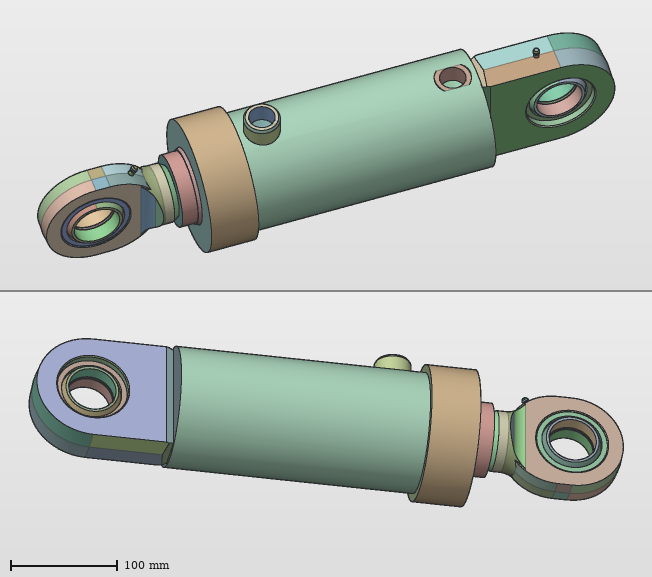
import cadquery as cq
import math


BORE_DIA = 45.0
BALL_DIA = 60.0
BALL_WIDTH = 32.0
RACE_DIA = 68.0
RACE_WIDTH = 25.0
RACE_OPENING_DIA = 58.0
SEAT_CHAMFER = 1.0
OIL_GROOVE_WIDTH = 3.0
OIL_GROOVE_DEPTH = 0.5

DRAFT_ANGLE = 3.5

ROD_DIA = 71.0
ROD_EYE_DIA = 100.0
ROD_EYE_THICKNESS = 26.0
ROD_EYE_FLAT = 14.0
SHANK_DIA = 58.0
SHANK_FILLET = 21.0
SHANK_CHAMFER_LENGTH = 5.5
SHANK_CHAMFER_DEPTH = 3.5
ROD_FACE_Y = 78.5
FLANK_START_Y = 44.5
FLANK_FILLET = 14.0
FLANK_ANGLE = 60.0

FLANGE_DIA = 130.0
FLANGE_FRONT_Y = 97.5
FLANGE_BACK_Y = 144.5
LIP_DIA = 73.0
LIP_BASE_DIA = 76.0
LIP_LENGTH = 3.5
TUBE_DIA = 115.0
TUBE_END_Y = 383.0

REAR_PIN_Y = 461.0
REAR_EYE_DIA = 110.5
REAR_EYE_THICKNESS = 40.0
WELD_CHAMFER_LENGTH = 7.5
WELD_CHAMFER_DEPTH = 3.0
REAR_EYE_ROOT = 5.5

FRONT_PORT_Y = 170.0
REAR_PORT_Y = 360.0
PORT_DIA = 35.0
PORT_HOLE_DIA = 25.0
PORT_HOLE_DEPTH = 20.0
DRILL_POINT_ANGLE = 118.0
BOSS_TOP_Z = 75.0
BOSS_CHAMFER_HEIGHT = 3.0
BOSS_CHAMFER_WIDTH = 1.5
SPOT_FACE_Z = 56.0

NIPPLE_HEIGHT = 9.0
NIPPLE_STEM_DIA = 5.5
NIPPLE_HEAD_DIA = 6.0
NIPPLE_NECK_DIA = 3.55
NIPPLE_TIP_DIA = 4.4
NIPPLE_STEM_HEIGHT = 4.0
NIPPLE_NECK_HEIGHT = 1.0
NIPPLE_ROOT = 3.0
REAR_NIPPLE_Y = REAR_PIN_Y - 17.5
ROD_NIPPLE_TILT = 30.0

rod_eye_radius = ROD_EYE_DIA / 2
rear_eye_radius = REAR_EYE_DIA / 2
rear_eye_root_y = TUBE_END_Y - REAR_EYE_ROOT
root_radius = rod_eye_radius - ROD_EYE_THICKNESS / 2 * math.tan(math.radians(DRAFT_ANGLE))
drill_point_height = PORT_HOLE_DIA / 2 / math.tan(math.radians(DRILL_POINT_ANGLE / 2))


def y_cylinder(diameter, y_start, y_end):
    """Cylinder along Y between two stations."""
    return (
        cq.Workplane("XZ", origin=(0, y_start, 0))
        .circle(diameter / 2)
        .extrude(y_start - y_end)
    )


def x_cylinder(diameter, width, y):
    """Cylinder along X, centred on X = 0 at the given station."""
    return cq.Workplane("YZ", origin=(0, y, 0)).circle(diameter / 2).extrude(width / 2, both=True)


def bearing_seat(thickness, y):
    """Through bore for a bearing, chamfered at both faces of an eye of this thickness."""
    radius = RACE_DIA / 2
    face = thickness / 2
    return (
        cq.Workplane("XY", origin=(0, y, 0))
        .moveTo(-face, 0)
        .lineTo(-face, radius + SEAT_CHAMFER)
        .lineTo(-face + SEAT_CHAMFER, radius)
        .lineTo(face - SEAT_CHAMFER, radius)
        .lineTo(face, radius + SEAT_CHAMFER)
        .lineTo(face, 0)
        .close()
        .revolve(360, (0, 0, 0), (1, 0, 0))
    )


def make_bearing(y):
    """Race and ball of a spherical bearing with a grooved pin bore."""
    race = x_cylinder(RACE_DIA, RACE_WIDTH, y).cut(x_cylinder(RACE_OPENING_DIA, RACE_WIDTH, y))
    ball = cq.Workplane("XY", origin=(0, y, 0)).sphere(BALL_DIA / 2)
    ball = ball.intersect(x_cylinder(BALL_DIA, BALL_WIDTH, y))
    bore = x_cylinder(BORE_DIA, BALL_WIDTH, y)
    oil_groove = x_cylinder(BORE_DIA + 2 * OIL_GROOVE_DEPTH, OIL_GROOVE_WIDTH, y)
    return race.union(ball).cut(bore).cut(oil_groove)


def make_nipple(surface_radius):
    """Grease nipple standing along Z on a surface at this height above the origin."""
    stem_top = surface_radius + NIPPLE_STEM_HEIGHT
    neck_top = stem_top + NIPPLE_NECK_HEIGHT
    top = surface_radius + NIPPLE_HEIGHT
    head_middle = (neck_top + top) / 2
    return (
        cq.Workplane("XZ")
        .moveTo(0, surface_radius - NIPPLE_ROOT)
        .lineTo(NIPPLE_STEM_DIA / 2, surface_radius - NIPPLE_ROOT)
        .lineTo(NIPPLE_STEM_DIA / 2, stem_top)
        .lineTo(NIPPLE_NECK_DIA / 2, stem_top)
        .lineTo(NIPPLE_NECK_DIA / 2, neck_top)
        .lineTo(NIPPLE_HEAD_DIA / 2, neck_top)
        .lineTo(NIPPLE_HEAD_DIA / 2, head_middle)
        .lineTo(NIPPLE_TIP_DIA / 2, top)
        .lineTo(0, top)
        .close()
        .revolve(360, (0, 0, 0), (0, 1, 0))
    )


def rod_turned_part():
    """Rod, shank and the ball-shaped root that joins the shank to the eye."""
    shank_radius = SHANK_DIA / 2
    rod_radius = ROD_DIA / 2
    fillet_r = shank_radius + SHANK_FILLET
    reach = root_radius + SHANK_FILLET
    fillet_y = ROD_EYE_FLAT + math.sqrt(reach**2 - fillet_r**2)
    touch_angle = math.asin(fillet_r / reach)
    start_angle = math.acos((FLANK_START_Y - ROD_EYE_FLAT) / root_radius)
    fillet_middle_angle = (touch_angle + math.pi / 2) / 2

    def root_point(angle):
        return (
            root_radius * math.sin(angle),
            ROD_EYE_FLAT + root_radius * math.cos(angle),
        )

    fillet_middle = (
        fillet_r - SHANK_FILLET * math.sin(fillet_middle_angle),
        fillet_y - SHANK_FILLET * math.cos(fillet_middle_angle),
    )
    return (
        cq.Workplane("XY")
        .moveTo(0, FLANK_START_Y)
        .lineTo(*root_point(start_angle))
        .threePointArc(root_point((start_angle + touch_angle) / 2), root_point(touch_angle))
        .threePointArc(fillet_middle, (shank_radius, fillet_y))
        .lineTo(shank_radius, ROD_FACE_Y - SHANK_CHAMFER_LENGTH)
        .lineTo(shank_radius - SHANK_CHAMFER_DEPTH, ROD_FACE_Y)
        .lineTo(rod_radius, ROD_FACE_Y)
        .lineTo(rod_radius, FLANGE_BACK_Y)
        .lineTo(0, FLANGE_BACK_Y)
        .close()
        .revolve(360, (0, 0, 0), (0, 1, 0))
    )


def rod_flank_cut(side):
    """Space beside the rod eye, bounded by the flat eye face and its flare to the shank."""
    face = ROD_EYE_THICKNESS / 2
    angle = math.radians(FLANK_ANGLE)

    def flare_point(turn):
        return (
            side * (face + FLANK_FILLET * (1 - math.cos(turn))),
            FLANK_START_Y + FLANK_FILLET * math.sin(turn),
        )

    flare_end_x, flare_end_y = flare_point(angle)
    run_out = rod_eye_radius - abs(flare_end_x)
    return (
        cq.Workplane("XY")
        .moveTo(side * face, -ROD_EYE_DIA)
        .lineTo(side * face, FLANK_START_Y)
        .threePointArc(flare_point(angle / 2), (flare_end_x, flare_end_y))
        .lineTo(side * rod_eye_radius, flare_end_y + run_out / math.tan(angle))
        .lineTo(side * rod_eye_radius, -ROD_EYE_DIA)
        .close()
        .extrude(ROD_EYE_DIA, both=True)
    )


def drafted_halves(outline, thickness):
    """Two mirrored halves that shrink from the full outline at X = 0 to the eye faces."""
    half = outline.extrude(thickness / 2, taper=DRAFT_ANGLE)
    return half.union(half.mirror("YZ"))


def rod_eye_plate():
    """Drafted eye with a round tip and a round back."""
    outline = (
        cq.Workplane("YZ")
        .moveTo(0, rod_eye_radius)
        .threePointArc((-rod_eye_radius, 0), (0, -rod_eye_radius))
        .lineTo(ROD_EYE_FLAT, -rod_eye_radius)
        .threePointArc((ROD_EYE_FLAT + rod_eye_radius, 0), (ROD_EYE_FLAT, rod_eye_radius))
        .close()
    )
    return drafted_halves(outline, ROD_EYE_THICKNESS)


def make_rod():
    """Piston rod welded to its eye, with a tilted grease nipple behind the eye."""
    rod = rod_turned_part()
    for side in (-1, 1):
        rod = rod.cut(rod_flank_cut(side))
    nipple = (
        make_nipple(rod_eye_radius)
        .rotate((0, 0, 0), (1, 0, 0), -ROD_NIPPLE_TILT)
        .translate((0, ROD_EYE_FLAT, 0))
    )
    return rod.union(rod_eye_plate()).union(nipple).cut(bearing_seat(ROD_EYE_THICKNESS, 0))


def weld_foot(half_width):
    """Bar along Y, narrowed in X by a weld chamfer where it stands on the tube end."""
    foot = half_width - WELD_CHAMFER_DEPTH
    chamfer_y = TUBE_END_Y + WELD_CHAMFER_LENGTH
    tip_y = REAR_PIN_Y + rear_eye_radius
    half_profile = [
        (foot, rear_eye_root_y),
        (foot, TUBE_END_Y),
        (half_width, chamfer_y),
        (half_width, tip_y),
    ]
    mirrored = [(-across, along) for across, along in reversed(half_profile)]
    profile = cq.Workplane("XY").polyline(half_profile + mirrored).close()
    return profile.extrude(REAR_EYE_DIA, both=True)


def make_rear_eye():
    """Drafted eye with a weld chamfer all around its foot."""
    outline = (
        cq.Workplane("YZ")
        .moveTo(rear_eye_root_y, rear_eye_radius)
        .lineTo(REAR_PIN_Y, rear_eye_radius)
        .threePointArc((REAR_PIN_Y + rear_eye_radius, 0), (REAR_PIN_Y, -rear_eye_radius))
        .lineTo(rear_eye_root_y, -rear_eye_radius)
        .close()
    )
    eye = drafted_halves(outline, REAR_EYE_THICKNESS)
    foot_across = weld_foot(REAR_EYE_THICKNESS / 2)
    foot_upright = weld_foot(rear_eye_radius).rotate((0, 0, 0), (0, 1, 0), 90)
    eye = eye.intersect(foot_across).intersect(foot_upright)
    nipple = make_nipple(rear_eye_radius).translate((0, REAR_NIPPLE_Y, 0))
    return eye.union(nipple).cut(bearing_seat(REAR_EYE_THICKNESS, REAR_PIN_Y))


def wiper_lip():
    """Cone standing on the flange face around the rod."""
    return (
        cq.Workplane("XY")
        .moveTo(0, FLANGE_FRONT_Y - LIP_LENGTH)
        .lineTo(LIP_DIA / 2, FLANGE_FRONT_Y - LIP_LENGTH)
        .lineTo(LIP_BASE_DIA / 2, FLANGE_FRONT_Y)
        .lineTo(0, FLANGE_FRONT_Y)
        .close()
        .revolve(360, (0, 0, 0), (0, 1, 0))
    )


def port_boss():
    """Raised front port with a chamfered rim."""
    radius = PORT_DIA / 2
    return (
        cq.Workplane("XZ", origin=(0, FRONT_PORT_Y, 0))
        .moveTo(0, 0)
        .lineTo(radius, 0)
        .lineTo(radius, BOSS_TOP_Z - BOSS_CHAMFER_HEIGHT)
        .lineTo(radius - BOSS_CHAMFER_WIDTH, BOSS_TOP_Z)
        .lineTo(0, BOSS_TOP_Z)
        .close()
        .revolve(360, (0, 0, 0), (0, 1, 0))
    )


def port_hole(y, top_z):
    """Drilled port with a pointed bottom."""
    bottom_z = top_z - PORT_HOLE_DEPTH
    return (
        cq.Workplane("XZ", origin=(0, y, 0))
        .moveTo(0, top_z)
        .lineTo(PORT_HOLE_DIA / 2, top_z)
        .lineTo(PORT_HOLE_DIA / 2, bottom_z)
        .lineTo(0, bottom_z - drill_point_height)
        .close()
        .revolve(360, (0, 0, 0), (0, 1, 0))
    )


def make_housing():
    """Tube, front flange, rear eye and ports, with a blind bore holding the rod."""
    spot_face = (
        cq.Workplane("XY", origin=(0, REAR_PORT_Y, SPOT_FACE_Z))
        .circle(PORT_DIA / 2)
        .extrude(TUBE_DIA / 2)
    )
    return (
        y_cylinder(TUBE_DIA, FLANGE_BACK_Y, TUBE_END_Y)
        .union(y_cylinder(FLANGE_DIA, FLANGE_FRONT_Y, FLANGE_BACK_Y))
        .union(wiper_lip())
        .union(port_boss())
        .union(make_rear_eye())
        .cut(spot_face)
        .cut(port_hole(REAR_PORT_Y, SPOT_FACE_Z))
        .cut(port_hole(FRONT_PORT_Y, BOSS_TOP_Z))
        .cut(y_cylinder(ROD_DIA, FLANGE_FRONT_Y - LIP_LENGTH, FLANGE_BACK_Y))
    )


housing = make_housing()
rod = make_rod()
bearings = [make_bearing(pin_y) for pin_y in (0, REAR_PIN_Y)]

result = cq.Compound.makeCompound(
    [housing.val(), rod.val(), *[bearing.val() for bearing in bearings]]
)